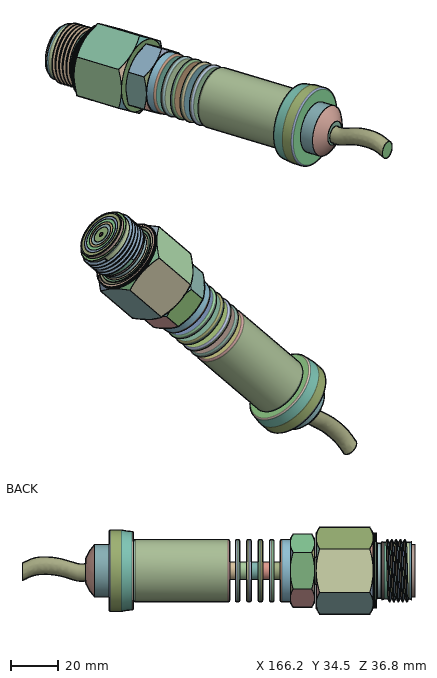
import cadquery as cq
import math

OVERALL_LENGTH = 166.2

TIP_DIAMETER = 22.3
TIP_LENGTH = 1.5
THREAD_CREST_DIAMETER = 26.5
THREAD_ROOT_DIAMETER = 24.1
THREAD_PITCH = 1.8
THREAD_TURNS = 4.9
THREAD_START = 3.5
THREAD_CREST_WIDTH = 0.25
THREAD_FOOT_WIDTH = 1.5
THREAD_OVERLAP = 0.2
NOSE_LAND_DIAMETER = 24.6
ROOT_START = 2.3
ROOT_END = 13.3
NOSE_END = 14.0
RELIEF_DIAMETER = 23.5
RELIEF_TAPER = 0.5
FLANGE_START = 16.5
FLANGE_DIAMETER = 31.7
FLANGE_GROOVE_DIAMETER = 31.0
FLANGE_GROOVE_WIDTH = 0.5
FLANGE_LIP = 0.5
LARGE_HEX_START = 17.8
LARGE_HEX_END = 41.9
LARGE_HEX_FLATS = 31.9
HEX_CHAMFER_ANGLE = 30.0

FACE_GROOVE_RADIUS = 4.5
FACE_GROOVE_SPACING = 2.7
FACE_GROOVE_COUNT = 3
FACE_GROOVE_WIDTH = 1.5
FACE_GROOVE_DEPTH = 0.2
CENTRE_HOLE_DIAMETER = 2.0
CENTRE_HOLE_DEPTH = 0.8

SEAL_RADIUS = 14.0
SEAL_THICKNESS = 1.3

NECK_JOINT_DIAMETER = 11.5
SMALL_HEX_START = 42.5
SMALL_HEX_END = 52.9
SMALL_HEX_FLATS = 27.0
BODY_DIAMETER = 26.5
COLLAR_END = 57.2
EDGE_ROUND = 0.8
STEM_DIAMETER = 7.5
FIN_COUNT = 4
FIRST_FIN_START = 59.7
FIN_PITCH = 4.8
FIN_THICKNESS = 2.0

HOUSING_START = 78.5
RING_START = 119.2
RING_END = 129.5
RING_DIAMETER = 34.5
RING_FRONT_DIAMETER = 33.0
RING_TAPER_LENGTH = 5.2
RING_ROUND = 0.7
GLAND_DIAMETER = 22.3
GLAND_NOSE_START = 135.6
GLAND_NOSE_DIAMETER = 10.5
GLAND_NOSE_BULGE = 0.25
GLAND_END = 139.5

CABLE_DIAMETER = 7.5
CABLE_STATIONS = [
    (GLAND_END, -0.7),
    (142.0, -0.8),
    (146.3, 0.3),
    (151.3, 1.7),
    (156.8, 2.2),
    (161.2, 1.7),
    (OVERALL_LENGTH, -0.5),
]


def disc(start, end, diameter):
    """Cylinder on the X axis between two stations."""
    return cq.Workplane("YZ", origin=(start, 0, 0)).circle(diameter / 2).extrude(end - start)


def turned(outline):
    """Solid of revolution about the X axis from an outline of (x, radius)."""
    return outline.close().revolve(360, (0, 0, 0), (1, 0, 0))


def chamfered_hexagon(start, end, flats):
    """Hexagonal prism with corners up and down, its ends cut back by cones at the corners."""
    corners = flats / math.cos(math.pi / 6)
    prism = (
        cq.Workplane("YZ", origin=(start, 0, 0))
        .polygon(6, corners)
        .extrude(end - start)
        .rotate((0, 0, 0), (1, 0, 0), 90)
    )
    cut_back = (corners - flats) / 2 * math.tan(math.radians(HEX_CHAMFER_ANGLE))
    cone_envelope = turned(
        cq.Workplane("XY")
        .moveTo(start, 0)
        .lineTo(start, flats / 2)
        .lineTo(start + cut_back, corners / 2)
        .lineTo(end - cut_back, corners / 2)
        .lineTo(end, flats / 2)
        .lineTo(end, 0)
    )
    return prism.intersect(cone_envelope)


def thread_ridge():
    """Helical ridge whose foot sinks slightly into the thread core."""
    foot_radius = THREAD_ROOT_DIAMETER / 2 - THREAD_OVERLAP
    crest_radius = THREAD_CREST_DIAMETER / 2
    helix = cq.Wire.makeHelix(
        THREAD_PITCH,
        THREAD_PITCH * THREAD_TURNS,
        foot_radius,
        center=cq.Vector(0, 0, 0),
        dir=cq.Vector(0, 0, 1),
    )
    ridge = (
        cq.Workplane("XZ")
        .moveTo(foot_radius, -THREAD_FOOT_WIDTH / 2)
        .lineTo(crest_radius, -THREAD_CREST_WIDTH / 2)
        .lineTo(crest_radius, THREAD_CREST_WIDTH / 2)
        .lineTo(foot_radius, THREAD_FOOT_WIDTH / 2)
        .close()
        .sweep(cq.Workplane(helix), isFrenet=True)
    )
    return ridge.rotate((0, 0, 0), (0, 1, 0), 90).translate((THREAD_START, 0, 0))


def face_groove(radius):
    """Shallow ring groove of arc section in the flush face."""
    half_width = FACE_GROOVE_WIDTH / 2
    return turned(
        cq.Workplane("XY")
        .moveTo(0, radius - half_width)
        .threePointArc((FACE_GROOVE_DEPTH, radius), (0, radius + half_width))
    )


def seal_groove():
    """Square ring groove in the flange face that holds the seal ring."""
    groove_end = FLANGE_START + SEAL_THICKNESS
    outer = disc(FLANGE_START, groove_end, 2 * SEAL_RADIUS + SEAL_THICKNESS)
    return outer.cut(disc(FLANGE_START, groove_end, 2 * SEAL_RADIUS - SEAL_THICKNESS))


def make_fitting():
    tip_radius = TIP_DIAMETER / 2
    land_radius = NOSE_LAND_DIAMETER / 2
    root_radius = THREAD_ROOT_DIAMETER / 2
    relief_radius = RELIEF_DIAMETER / 2
    flange_radius = FLANGE_DIAMETER / 2
    groove_radius = FLANGE_GROOVE_DIAMETER / 2
    lip_end = FLANGE_START + FLANGE_LIP
    lip_groove_end = lip_end + FLANGE_GROOVE_WIDTH
    turned_front = turned(
        cq.Workplane("XY")
        .moveTo(0, 0)
        .lineTo(0, tip_radius)
        .lineTo(TIP_LENGTH, tip_radius)
        .lineTo(TIP_LENGTH, land_radius)
        .lineTo(ROOT_START, root_radius)
        .lineTo(ROOT_END, root_radius)
        .lineTo(NOSE_END, land_radius)
        .lineTo(NOSE_END + RELIEF_TAPER, relief_radius)
        .lineTo(FLANGE_START - RELIEF_TAPER, relief_radius)
        .lineTo(FLANGE_START, land_radius)
        .lineTo(FLANGE_START, flange_radius)
        .lineTo(lip_end, flange_radius)
        .lineTo(lip_end, groove_radius)
        .lineTo(lip_groove_end, groove_radius)
        .lineTo(lip_groove_end, flange_radius)
        .lineTo(LARGE_HEX_START, flange_radius)
        .lineTo(LARGE_HEX_START, 0)
    )
    hexagon = chamfered_hexagon(LARGE_HEX_START, LARGE_HEX_END, LARGE_HEX_FLATS)
    fitting = turned_front.union(hexagon).cut(seal_groove())
    for index in range(FACE_GROOVE_COUNT):
        fitting = fitting.cut(face_groove(FACE_GROOVE_RADIUS + index * FACE_GROOVE_SPACING))
    fitting = fitting.cut(disc(0, CENTRE_HOLE_DEPTH, CENTRE_HOLE_DIAMETER))
    return fitting.union(thread_ridge(), clean=False)


def make_seal_ring():
    tube_radius = SEAL_THICKNESS / 2
    section = cq.Workplane("XY").center(FLANGE_START + tube_radius, SEAL_RADIUS).circle(tube_radius)
    return section.revolve(360, (0, -SEAL_RADIUS, 0), (1, -SEAL_RADIUS, 0))


def make_fin(start):
    return disc(start, start + FIN_THICKNESS, BODY_DIAMETER).edges().fillet(EDGE_ROUND)


def make_finned_neck():
    neck = disc(LARGE_HEX_END, SMALL_HEX_START, NECK_JOINT_DIAMETER)
    neck = neck.union(chamfered_hexagon(SMALL_HEX_START, SMALL_HEX_END, SMALL_HEX_FLATS))
    collar = disc(SMALL_HEX_END, COLLAR_END, BODY_DIAMETER).faces(">X").edges().fillet(EDGE_ROUND)
    neck = neck.union(collar).union(disc(COLLAR_END, HOUSING_START, STEM_DIAMETER))
    for index in range(FIN_COUNT):
        neck = neck.union(make_fin(FIRST_FIN_START + index * FIN_PITCH))
    return neck


def make_housing():
    return disc(HOUSING_START, RING_START, BODY_DIAMETER).edges().fillet(EDGE_ROUND)


def make_end_ring():
    ring_radius = RING_DIAMETER / 2
    ring = turned(
        cq.Workplane("XY")
        .moveTo(RING_START, 0)
        .lineTo(RING_START, RING_FRONT_DIAMETER / 2)
        .lineTo(RING_START + RING_TAPER_LENGTH, ring_radius)
        .lineTo(RING_END, ring_radius)
        .lineTo(RING_END, 0)
    )
    return ring.faces("<X or >X").edges().fillet(RING_ROUND)


def make_cable():
    """Wavy cable whose round section stays square to the X axis all along."""
    sections = [
        cq.Wire.makeCircle(CABLE_DIAMETER / 2, cq.Vector(x, 0, z), cq.Vector(1, 0, 0))
        for x, z in [(RING_END, 0), *CABLE_STATIONS]
    ]
    return cq.Workplane("YZ").newObject([cq.Solid.makeLoft(sections)])


def make_gland(cable):
    gland_radius = GLAND_DIAMETER / 2
    nose_radius = GLAND_NOSE_DIAMETER / 2
    bulge_point = (
        (GLAND_NOSE_START + GLAND_END) / 2 + GLAND_NOSE_BULGE,
        (gland_radius + nose_radius) / 2 + GLAND_NOSE_BULGE,
    )
    gland = turned(
        cq.Workplane("XY")
        .moveTo(RING_END, 0)
        .lineTo(RING_END, gland_radius)
        .lineTo(GLAND_NOSE_START, gland_radius)
        .threePointArc(bulge_point, (GLAND_END, nose_radius))
        .lineTo(GLAND_END, 0)
    )
    return gland.cut(cable)


fitting = make_fitting()
seal_ring = make_seal_ring()
finned_neck = make_finned_neck()
housing = make_housing()
end_ring = make_end_ring()
cable = make_cable()
gland = make_gland(cable)

result = cq.Compound.makeCompound([
    fitting.val(),
    seal_ring.val(),
    finned_neck.val(),
    housing.val(),
    end_ring.val(),
    gland.val(),
    cable.val(),
])